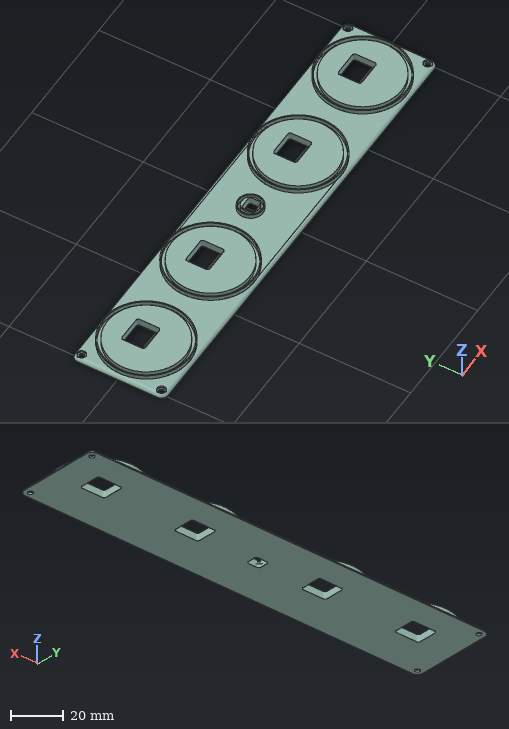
import cadquery as cq

length = 204.5
width = 42.0
plate_height = 1.6
total_height = 3.5
rim_width = 1.6
rim_bulge = 0.3
corner_radius = 3.0

pad_positions_x = (-80.8, -33.0, 32.3, 80.5)
pad_diameter = 39.0
pad_groove_outer = 38.0
pad_groove_inner = 35.0
window_length = 12.3
window_width = 10.5
window_corner_radius = 1.0
window_offset_x = 1.0
window_offset_y = 3.0

boss_x = -0.5
boss_y = 1.6
boss_diameter = 11.0
boss_groove_outer = 10.0
boss_groove_inner = 8.0
boss_window_length = 6.3
boss_window_width = 5.5
boss_window_y = 1.2
boss_window_corner_radius = 1.0

groove_depth = total_height - plate_height

hole_inset = 3.0
hole_diameter = 2.3
counterbore_diameter = 3.7
counterbore_depth = 0.8


def rounded_rectangle(size_x, size_y, radius):
    outline = cq.Sketch().rect(size_x, size_y).vertices().fillet(radius)
    return cq.Workplane("XY").placeSketch(outline)


def make_plate():
    core = rounded_rectangle(
        length - 2 * rim_width, width - 2 * rim_width, corner_radius - rim_width
    ).extrude(plate_height)
    path = rounded_rectangle(length, width, corner_radius).extrude(plate_height).faces("<Z").wires()
    outer_y = -width / 2
    inner_y = outer_y + rim_width
    rim = (
        cq.Workplane("YZ")
        .moveTo(inner_y, 0)
        .lineTo(outer_y, 0)
        .sagittaArc((inner_y, plate_height), rim_bulge)
        .close()
        .sweep(path, transition="round")
    )
    return core.union(rim)


def make_grooved_disc(x, y, diameter, groove_outer, groove_inner):
    disc = (
        cq.Workplane("XY", origin=(x, y, plate_height))
        .circle(diameter / 2)
        .extrude(total_height - plate_height)
    )
    groove = (
        cq.Workplane("XY", origin=(x, y, total_height))
        .circle(groove_outer / 2)
        .circle(groove_inner / 2)
        .extrude(-groove_depth)
    )
    return disc.cut(groove)


def make_window(x, y, size_x, size_y):
    return cq.Workplane("XY").center(x, y).rect(size_x, size_y).extrude(total_height)


result = make_plate()

for pad_x in pad_positions_x:
    pad = make_grooved_disc(pad_x, 0, pad_diameter, pad_groove_outer, pad_groove_inner)
    window = make_window(pad_x + window_offset_x, window_offset_y, window_length, window_width)
    result = result.union(pad).cut(window.edges("|Z").fillet(window_corner_radius))

boss = make_grooved_disc(boss_x, boss_y, boss_diameter, boss_groove_outer, boss_groove_inner)
boss_window = make_window(boss_x, boss_window_y, boss_window_length, boss_window_width)
result = result.union(boss).cut(boss_window.edges("|Z").fillet(boss_window_corner_radius))

hole_centers = cq.Workplane("XY").rect(
    length - 2 * hole_inset, width - 2 * hole_inset, forConstruction=True
).vertices()
holes = hole_centers.circle(hole_diameter / 2).extrude(plate_height)
counterbores = (
    hole_centers.circle(counterbore_diameter / 2)
    .extrude(counterbore_depth)
    .translate((0, 0, plate_height - counterbore_depth))
)
result = result.cut(holes).cut(counterbores)